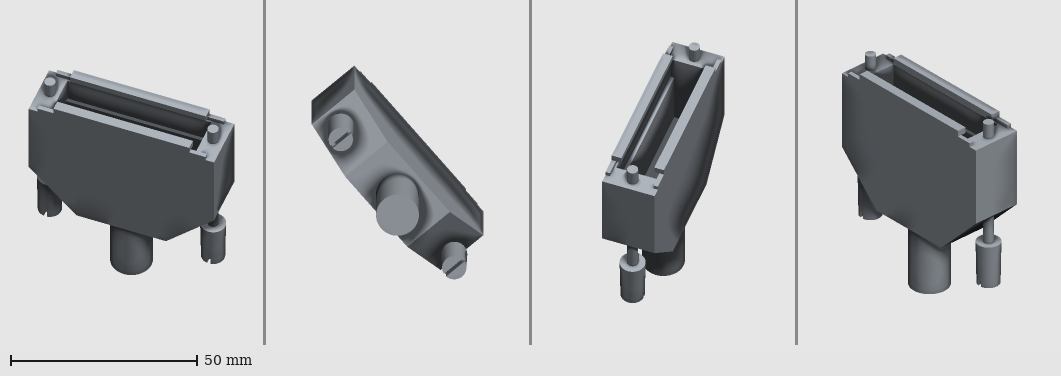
import cadquery as cq

depth = 15.0
total_height = 61.5

body_half_width = 26.7
bottom_half_width = 12.85
body_bottom = 20.05
shoulder_height = 33.95
body_top = 57.0

strip_length = 48.4
strip_thickness = 1.2
strip_top = 58.2
rail_length = 39.1
rail_thickness = 2.75
rail_top = 59.95

pocket_length = 41.45
upper_pocket_width = 11.55
lower_pocket_width = depth - 2 * rail_thickness
ledge_height = 49.95
pocket_floor = shoulder_height

outlet_diameter = 11.5

screw_offset = 23.5
shank_diameter = 3.0
head_bottom = 11.1
head_top = 24.0
head_top_radius = 3.5
head_bottom_radius = 3.25
slot_width = 1.0
slot_depth = 1.95


def block(length, width, bottom, top, y=0):
    """Box centred on x = 0 between two heights."""
    return (
        cq.Workplane("XY", origin=(0, y, bottom))
        .rect(length, width)
        .extrude(top - bottom)
    )


def make_body():
    """Hood outline with sloping lower corners, hollowed from the top."""
    outline = [
        (-bottom_half_width, body_bottom),
        (bottom_half_width, body_bottom),
        (body_half_width, shoulder_height),
        (body_half_width, body_top),
        (-body_half_width, body_top),
        (-body_half_width, shoulder_height),
    ]
    body = cq.Workplane("XZ").polyline(outline).close().extrude(depth / 2, both=True)
    upper_pocket = block(pocket_length, upper_pocket_width, ledge_height, body_top)
    lower_pocket = block(pocket_length, lower_pocket_width, pocket_floor, ledge_height)
    return body.cut(upper_pocket).cut(lower_pocket)


def make_rim(side):
    """Long thin strip carrying a shorter rail that overhangs the pocket."""
    strip_y = side * (depth - strip_thickness) / 2
    rail_y = side * (depth - rail_thickness) / 2
    strip = block(strip_length, strip_thickness, body_top, strip_top, strip_y)
    rail = block(rail_length, rail_thickness, strip_top, rail_top, rail_y)
    return strip.union(rail)


def make_outlet():
    return cq.Workplane("XY").circle(outlet_diameter / 2).extrude(body_bottom)


def make_screw(x):
    """Jack screw with a tapered head, slotted across its lower end."""
    shank_radius = shank_diameter / 2
    profile = [
        (0, head_bottom),
        (head_bottom_radius, head_bottom),
        (head_top_radius, head_top),
        (shank_radius, head_top),
        (shank_radius, total_height),
        (0, total_height),
    ]
    screw = cq.Workplane("XZ").polyline(profile).close().revolve(360, (0, 0), (0, 1))
    slot = block(slot_width, 2 * head_top_radius, head_bottom, head_bottom + slot_depth)
    return screw.cut(slot).translate((x, 0, 0))


result = make_body().union(make_outlet())
for side in (-1, 1):
    result = result.union(make_rim(side))
    result = result.union(make_screw(side * screw_offset))